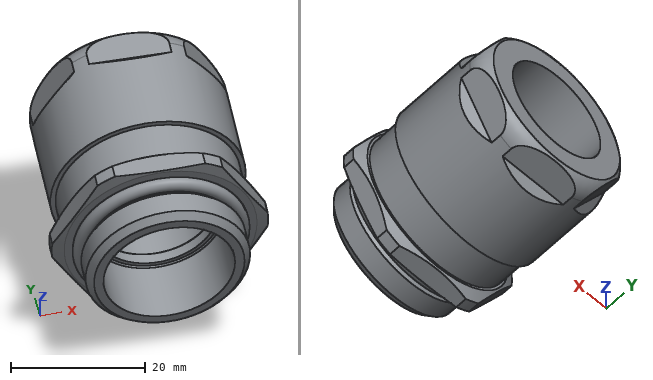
import cadquery as cq
import math

total_length = 36.1
stub_chamfer_end = 1.12
stub_end = 4.62
hex_start = 7.1
hex_end = 10.5
collar_end = 16.82
flat_start = 30.97
crown_start = 32.8

stub_radius = 25.0 / 2
stub_tip_radius = 22.9 / 2
neck_radius = 11.7
ring_radius = 26.9 / 2
ring_tube_radius = 1.1
ring_centre = 6.55
collar_radius = 28.15 / 2
nut_radius = 29.7 / 2
crown_end_radius = 13.07

hex_across_flats = 29.9
hex_corner_radius = 32.9 / 2
hex_front_chamfer = 0.25
hex_front_face_radius = 14.65
hex_back_chamfer = 1.1
hex_back_angle = 30.0

nut_across_flats = 26.93
flat_count = 6

entry_bore_radius = 20.0 / 2
entry_bore_depth = 9.55
seat_radius = 19.5 / 2
seat_chamfer = entry_bore_radius - seat_radius
step_radius = 18.3 / 2
step_depth = 11.55
through_radius = 18.2 / 2


def along_axis(profile):
    """Revolve an (X radius, Y station) profile about the Y axis."""
    return profile.close().revolve(360, (0, 0, 0), (0, 1, 0))


def arc_middle(radius_at_start, start, radius_at_end, end):
    """Middle of an arc that leaves its start parallel to the Y axis and leans inward."""
    drop = radius_at_start - radius_at_end
    rise = end - start
    arc_radius = (drop**2 + rise**2) / (2 * drop)
    half_angle = math.asin(rise / arc_radius) / 2
    return (
        radius_at_start - arc_radius * (1 - math.cos(half_angle)),
        start + arc_radius * math.sin(half_angle),
    )


def turned_body():
    """Threaded stub, sealing ring, collar and crowned nut."""
    tube_centre_radius = ring_radius - ring_tube_radius
    neck_start = stub_end + stub_radius - neck_radius
    ring_inner_drop = tube_centre_radius - neck_radius
    ring_start = ring_centre - math.sqrt(ring_tube_radius**2 - ring_inner_drop**2)
    ring_overlap = hex_start - ring_centre
    ring_end_radius = tube_centre_radius + math.sqrt(ring_tube_radius**2 - ring_overlap**2)
    ring_middle = (
        tube_centre_radius + ring_tube_radius * math.sin(math.pi / 4),
        ring_centre - ring_tube_radius * math.cos(math.pi / 4),
    )
    crown_middle = arc_middle(nut_radius, crown_start, crown_end_radius, total_length)
    return along_axis(
        cq.Workplane("XY")
        .moveTo(0, 0)
        .lineTo(stub_tip_radius, 0)
        .lineTo(stub_radius, stub_chamfer_end)
        .lineTo(stub_radius, stub_end)
        .lineTo(neck_radius, neck_start)
        .lineTo(neck_radius, ring_start)
        .threePointArc(ring_middle, (ring_end_radius, hex_start))
        .lineTo(collar_radius, hex_start)
        .lineTo(collar_radius, collar_end)
        .lineTo(nut_radius, collar_end)
        .lineTo(nut_radius, crown_start)
        .threePointArc(crown_middle, (crown_end_radius, total_length))
        .lineTo(0, total_length)
    )


def hex_flange():
    """Hexagon with flats facing up and down, trimmed by a chamfered disc."""
    across_corners = hex_across_flats / math.cos(math.pi / 6)
    hexagon = (
        cq.Workplane("XZ", origin=(0, hex_end, 0))
        .polygon(6, across_corners)
        .extrude(hex_end - hex_start)
    )
    back_face_radius = hex_corner_radius - hex_back_chamfer / math.tan(math.radians(hex_back_angle))
    trimming_disc = along_axis(
        cq.Workplane("XY")
        .moveTo(0, hex_start)
        .lineTo(hex_front_face_radius, hex_start)
        .lineTo(hex_corner_radius, hex_start + hex_front_chamfer)
        .lineTo(hex_corner_radius, hex_end - hex_back_chamfer)
        .lineTo(back_face_radius, hex_end)
        .lineTo(0, hex_end)
    )
    return hexagon.intersect(trimming_disc)


def flat_cutter():
    """Removes one wrench flat on the upper side, with a 45 degree run-out."""
    apothem = nut_across_flats / 2
    overshoot = 3.6
    return (
        cq.Workplane("YZ")
        .moveTo(total_length + overshoot, apothem)
        .lineTo(flat_start, apothem)
        .lineTo(flat_start - overshoot, apothem + overshoot)
        .lineTo(total_length + overshoot, apothem + overshoot)
        .close()
        .extrude(nut_radius, both=True)
    )


def stepped_bore():
    """Wide entry bore, chamfered seat and slightly stepped through hole."""
    seat_start = entry_bore_depth + seat_chamfer
    return along_axis(
        cq.Workplane("XY")
        .moveTo(0, 0)
        .lineTo(entry_bore_radius, 0)
        .lineTo(entry_bore_radius, entry_bore_depth)
        .lineTo(seat_radius, seat_start)
        .lineTo(step_radius, seat_start)
        .lineTo(step_radius, step_depth)
        .lineTo(through_radius, step_depth)
        .lineTo(through_radius, total_length)
        .lineTo(0, total_length)
    )


result = turned_body().union(hex_flange())
for index in range(flat_count):
    turn = index * 360 / flat_count
    result = result.cut(flat_cutter().rotate((0, 0, 0), (0, 1, 0), turn))
result = result.cut(stepped_bore())